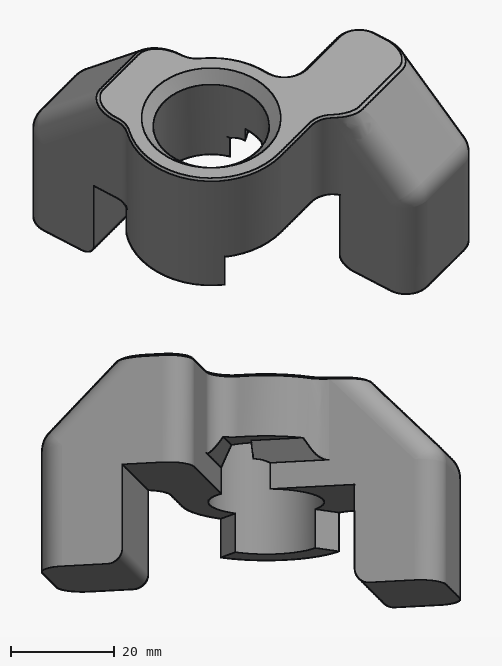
import cadquery as cq
import math

half_length = 36.9
total_height = 41.2
underside = -21.6
ring_radius = 16.6
bore_radius = 11.175
corner_radius = 5.1

leg_front = -11.1
leg_back = 10.7
leg_inner = 19.9
slope_start = 21.75
slope_drop = half_length - slope_start
foot_radius = 2.95

arm_left = 6.85
arm_front = 15.05
arm_back = 37.25

skirt_bottom = -29.3

relief_roof = -12.4
relief_eave = -16.45
relief_run = (relief_roof - relief_eave) / math.tan(math.radians(60))

rim_break = 0.45
countersink_radius = 13.0
countersink_depth = countersink_radius - bore_radius + rim_break


def block(x_min, x_max, y_min, y_max, z_min, z_max):
    size = (x_max - x_min, y_max - y_min, z_max - z_min)
    return cq.Workplane("XY").box(*size, centered=False).translate((x_min, y_min, z_min))


def leg(side, root, y_min, y_max):
    """L-shaped arm and leg; side is the sign of X, root the inner end of the arm."""
    profile = [
        (root, 0),
        (side * slope_start, 0),
        (side * half_length, -slope_drop),
        (side * half_length, -total_height),
        (side * leg_inner, -total_height),
        (side * leg_inner, underside),
        (root, underside),
    ]
    body = cq.Workplane("XZ", origin=(0, y_max, 0)).polyline(profile).close().extrude(y_max - y_min)
    foot_edge = cq.selectors.NearestToPointSelector(
        (side * leg_inner, (y_min + y_max) / 2, -total_height)
    )
    return body.edges(foot_edge).fillet(foot_radius)


def sharp_body():
    ring = cq.Workplane("XY").circle(ring_radius).extrude(underside)
    neck = block(arm_left, ring_radius, 0, arm_back, underside, 0)
    left_leg = leg(-1, -bore_radius, leg_front, leg_back)
    right_leg = leg(1, arm_left, arm_front, arm_back)
    return ring.union(neck).union(left_leg).union(right_leg).clean()


def round_edges(body, points):
    """Round the edges whose middles lie nearest to the given points."""
    edges = [body.edges(cq.selectors.NearestToPointSelector(p)).val() for p in points]
    return body.newObject(edges).fillet(corner_radius)


def blend_ring(body):
    """Blend the arms into the ring and round the free corner of the offset arm."""
    ring_meets_leg_back = -math.sqrt(ring_radius**2 - leg_back**2)
    ring_meets_leg_front = -math.sqrt(ring_radius**2 - leg_front**2)
    ring_meets_arm = math.sqrt(ring_radius**2 - arm_left**2)
    mid_height = underside / 2
    return round_edges(body, [
        (ring_meets_leg_back, leg_back, mid_height),
        (ring_meets_leg_front, leg_front, mid_height),
        (arm_left, ring_meets_arm, mid_height),
        (ring_radius, arm_front, mid_height),
        (arm_left, arm_back, mid_height),
    ])


def round_leg(body, side, y_min, y_max):
    """Round the outer upright edges, the slope edges and the knee between them."""
    upright_middle = (-slope_drop - total_height) / 2
    slope_middle = (slope_start + half_length) / 2
    points = [(side * half_length, (y_min + y_max) / 2, -slope_drop)]
    for y in (y_min, y_max):
        points.append((side * half_length, y, upright_middle))
        points.append((side * slope_middle, y, -slope_drop / 2))
    return round_edges(body, points)


def skirt():
    reach = 2 * ring_radius
    sector = (
        cq.Workplane("XY", origin=(0, 0, underside))
        .polyline([(0, 0), (-reach, -reach), (reach, -reach)])
        .close()
        .extrude(skirt_bottom - underside)
    )
    return cq.Workplane("XY").circle(ring_radius).extrude(skirt_bottom).intersect(sector)


def bore():
    profile = [
        (0, skirt_bottom),
        (bore_radius, skirt_bottom),
        (bore_radius, -countersink_depth),
        (countersink_radius, -rim_break),
        (countersink_radius + rim_break, 0),
        (0, 0),
    ]
    return cq.Workplane("XZ").polyline(profile).close().revolve(360, (0, 0, 0), (0, 1, 0))


def relief():
    beside_arm = (
        cq.Workplane("XZ")
        .polyline([
            (0, underside),
            (arm_left, underside),
            (arm_left, relief_eave),
            (arm_left - relief_run, relief_roof),
            (0, relief_roof),
        ])
        .close()
        .extrude(-arm_back)
    )
    beside_leg = (
        cq.Workplane("YZ")
        .polyline([
            (arm_back, underside),
            (leg_back, underside),
            (leg_back, relief_eave),
            (leg_back + relief_run, relief_roof),
            (arm_back, relief_roof),
        ])
        .close()
        .extrude(-half_length)
    )
    return beside_arm.union(beside_leg)


body = round_leg(sharp_body(), -1, leg_front, leg_back)
body = blend_ring(body)
body = round_leg(body, 1, arm_front, arm_back)
body = body.faces(">Z").edges().chamfer(rim_break)
result = body.union(skirt()).cut(bore()).cut(relief())